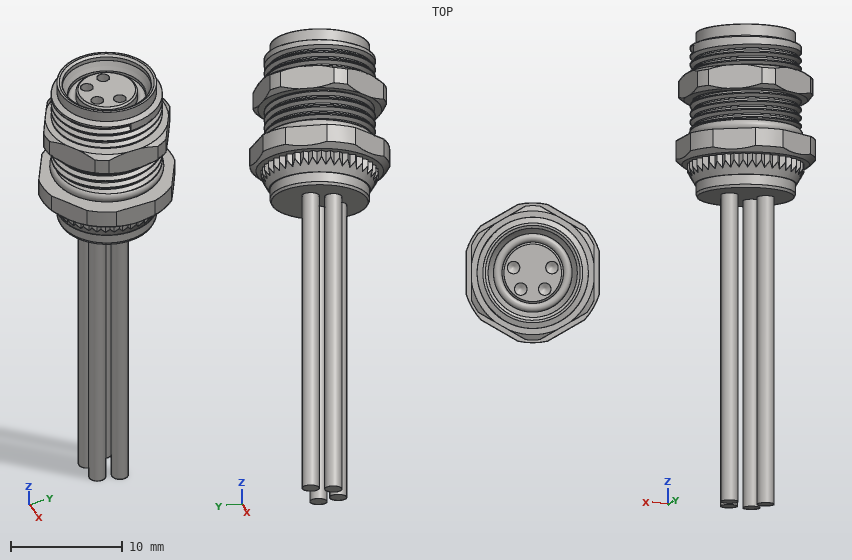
import cadquery as cq
import math


TOTAL_HEIGHT = 43.2
HOUSING_BOTTOM = 28.2
KNURL_CONE_BOTTOM = 29.38
KNURL_CONE_TOP = 30.6
FLANGE_BOTTOM = 31.2
FLANGE_TOP = 33.3
THREAD_BOTTOM = 34.4
NUT_BOTTOM = 37.1
NUT_TOP = 39.25
COLLAR_BOTTOM = 42.15

COLLAR_RADIUS = 4.5
NECK_RADIUS = 4.62
FOOT_CHAMFER_WIDTH = 0.15
FOOT_CHAMFER_HEIGHT = 0.25

THREAD_ROOT_RADIUS = 4.65
THREAD_CREST_RADIUS = 5.0
THREAD_TURNS = 10
THREAD_RISE = 7.5
THREAD_PITCH = THREAD_RISE / THREAD_TURNS
GROOVE_START = 34.0
GROOVE_ROOT_WIDTH = 0.15
GROOVE_MOUTH_WIDTH = 0.65
GROOVE_OVERRUN = 0.05
THREAD_BEVEL_HEIGHT = 0.2

FLANGE_FLAT_DISTANCE = 6.0
FLANGE_CORNER_RADIUS = 6.3
FLANGE_BEVEL_WIDTH = 0.55
FLANGE_BEVEL_HEIGHT = 0.48
NUT_FLAT_DISTANCE = 5.55
NUT_CORNER_RADIUS = 6.05
NUT_BEVEL_WIDTH = 0.48
NUT_BEVEL_HEIGHT = 0.35

KNURL_TEETH = 40
KNURL_TIP_RADIUS = 5.25
KNURL_ROOT_RADIUS = 4.92
KNURL_CONE_END_RADIUS = 4.6

SEAL_OUTER_RADIUS = 5.15
SEAL_SECTION_RADIUS = (THREAD_BOTTOM - FLANGE_TOP) / 2

MOUTH_RADIUS = 4.28
MOUTH_CHAMFER_DEPTH = 0.17
BORE_RADIUS = 4.0
BORE_DEPTH = 0.55
FUNNEL_END_RADIUS = 3.55
FUNNEL_BREAK_RADIUS = 3.75
FUNNEL_BREAK_DEPTH = 1.05
FUNNEL_DEPTH = 1.4
CAVITY_DEPTH = 1.8
INSERT_RADIUS = 2.75
INSERT_DEPTH = 0.8
INSERT_CHAMFER = 0.17

CONTACTS = [(-1.73, 0.48), (1.73, 0.48), (-1.1, -1.45), (1.1, -1.45)]
CONTACT_HOLE_RADIUS = 0.55
CONTACT_HOLE_DEPTH = 2.6
CONTACT_TIP_DEPTH = 0.35
WIRE_RADIUS = 0.78


def revolve(profile):
    """Turn a closed (radius, height) outline around the Z axis."""
    return cq.Workplane("XZ").polyline(profile).close().revolve(360, (0, 0), (0, 1))


def ring(center_radius, section_radius, height):
    """Round-section ring centred on the Z axis."""
    section = cq.Workplane("XZ").center(center_radius, height).circle(section_radius)
    return section.revolve(360, (-center_radius, 0), (-center_radius, 1))


def hexagon(flat_distance, corner_radius, bottom, top, bevel_width, bevel_height, bevel_top):
    """Hexagonal prism with flats facing +X and -X and bevelled corners."""
    corner_distance = flat_distance / math.cos(math.pi / 6)
    prism = (
        cq.Workplane("XY")
        .workplane(offset=bottom)
        .transformed(rotate=(0, 0, 30))
        .polygon(6, 2 * corner_distance)
        .extrude(top - bottom)
    )
    bevel_radius = corner_radius - bevel_width
    envelope = [(0, bottom), (bevel_radius, bottom), (corner_radius, bottom + bevel_height)]
    if bevel_top:
        envelope += [(corner_radius, top - bevel_height), (bevel_radius, top)]
    else:
        envelope += [(corner_radius, top)]
    envelope += [(0, top)]
    return prism.intersect(revolve(envelope))


def thread_groove():
    """Right-hand helical groove between the thread crests, running slightly proud of them."""
    outer_radius = THREAD_CREST_RADIUS + GROOVE_OVERRUN
    groove_depth = THREAD_CREST_RADIUS - THREAD_ROOT_RADIUS
    flank_slope = (GROOVE_MOUTH_WIDTH - GROOVE_ROOT_WIDTH) / 2 / groove_depth
    half_root = GROOVE_ROOT_WIDTH / 2
    half_outer = GROOVE_MOUTH_WIDTH / 2 + flank_slope * GROOVE_OVERRUN
    section = [
        (THREAD_ROOT_RADIUS, -half_root),
        (outer_radius, -half_outer),
        (outer_radius, half_outer),
        (THREAD_ROOT_RADIUS, half_root),
    ]
    helix = cq.Wire.makeHelix(THREAD_PITCH, THREAD_RISE, THREAD_ROOT_RADIUS)
    groove = cq.Workplane("XZ").polyline(section).close().sweep(cq.Workplane(helix), isFrenet=True)
    return groove.translate((0, 0, GROOVE_START))


def knurled_ring():
    """Toothed ring whose lower part tapers to the foot collar."""
    outline = []
    for step in range(2 * KNURL_TEETH):
        radius = KNURL_TIP_RADIUS if step % 2 else KNURL_ROOT_RADIUS
        angle = math.pi * step / KNURL_TEETH
        outline.append((radius * math.cos(angle), radius * math.sin(angle)))
    teeth = (
        cq.Workplane("XY")
        .workplane(offset=KNURL_CONE_BOTTOM)
        .polyline(outline)
        .close()
        .extrude(FLANGE_BOTTOM - KNURL_CONE_BOTTOM)
    )
    envelope = [
        (0, KNURL_CONE_BOTTOM),
        (KNURL_CONE_END_RADIUS, KNURL_CONE_BOTTOM),
        (KNURL_TIP_RADIUS, KNURL_CONE_TOP),
        (KNURL_TIP_RADIUS, FLANGE_BOTTOM),
        (0, FLANGE_BOTTOM),
    ]
    return teeth.intersect(revolve(envelope))


def housing_blank():
    """Turned housing: foot collar, neck under the outer seal, thread blank and top collar."""
    return revolve(
        [
            (0, HOUSING_BOTTOM),
            (COLLAR_RADIUS - FOOT_CHAMFER_WIDTH, HOUSING_BOTTOM),
            (COLLAR_RADIUS, HOUSING_BOTTOM + FOOT_CHAMFER_HEIGHT),
            (COLLAR_RADIUS, FLANGE_TOP),
            (NECK_RADIUS, FLANGE_TOP),
            (NECK_RADIUS, THREAD_BOTTOM),
            (THREAD_CREST_RADIUS, THREAD_BOTTOM),
            (THREAD_CREST_RADIUS, COLLAR_BOTTOM - THREAD_BEVEL_HEIGHT),
            (COLLAR_RADIUS, COLLAR_BOTTOM),
            (COLLAR_RADIUS, TOTAL_HEIGHT),
            (0, TOTAL_HEIGHT),
        ]
    )


def socket_cavity():
    """Space around the contact insert, open at the mating rim."""
    insert_top = TOTAL_HEIGHT - INSERT_DEPTH
    floor = TOTAL_HEIGHT - CAVITY_DEPTH
    return revolve(
        [
            (0, TOTAL_HEIGHT),
            (MOUTH_RADIUS, TOTAL_HEIGHT),
            (BORE_RADIUS, TOTAL_HEIGHT - MOUTH_CHAMFER_DEPTH),
            (BORE_RADIUS, TOTAL_HEIGHT - BORE_DEPTH),
            (FUNNEL_BREAK_RADIUS, TOTAL_HEIGHT - FUNNEL_BREAK_DEPTH),
            (FUNNEL_END_RADIUS, TOTAL_HEIGHT - FUNNEL_DEPTH),
            (FUNNEL_END_RADIUS, floor),
            (INSERT_RADIUS, floor),
            (INSERT_RADIUS, insert_top - INSERT_CHAMFER),
            (INSERT_RADIUS - INSERT_CHAMFER, insert_top),
            (0, insert_top),
        ]
    )


def contact_hole(x, y):
    """Blind hole with a conical end."""
    top = TOTAL_HEIGHT - INSERT_DEPTH
    bottom = top - CONTACT_HOLE_DEPTH
    hole = revolve(
        [
            (0, top),
            (CONTACT_HOLE_RADIUS, top),
            (CONTACT_HOLE_RADIUS, bottom),
            (0, bottom - CONTACT_TIP_DEPTH),
        ]
    )
    return hole.translate((x, y, 0))


def wire(x, y):
    """Straight round wire from its free end to the underside of the housing."""
    return cq.Workplane("XY").center(x, y).circle(WIRE_RADIUS).extrude(HOUSING_BOTTOM)


housing = housing_blank().cut(thread_groove())

flange = hexagon(
    FLANGE_FLAT_DISTANCE,
    FLANGE_CORNER_RADIUS,
    FLANGE_BOTTOM,
    FLANGE_TOP,
    FLANGE_BEVEL_WIDTH,
    FLANGE_BEVEL_HEIGHT,
    bevel_top=False,
)
nut = hexagon(
    NUT_FLAT_DISTANCE,
    NUT_CORNER_RADIUS,
    NUT_BOTTOM,
    NUT_TOP,
    NUT_BEVEL_WIDTH,
    NUT_BEVEL_HEIGHT,
    bevel_top=True,
)
outer_seal = ring(
    SEAL_OUTER_RADIUS - SEAL_SECTION_RADIUS,
    SEAL_SECTION_RADIUS,
    FLANGE_TOP + SEAL_SECTION_RADIUS,
)
fittings = knurled_ring().union(flange).union(nut).union(outer_seal)

inner_seal = ring(
    (INSERT_RADIUS + FUNNEL_END_RADIUS) / 2,
    (FUNNEL_END_RADIUS - INSERT_RADIUS) / 2,
    TOTAL_HEIGHT - CAVITY_DEPTH,
)
openings = socket_cavity().cut(inner_seal)

for contact_x, contact_y in CONTACTS:
    openings = openings.union(contact_hole(contact_x, contact_y))
    fittings = fittings.union(wire(contact_x, contact_y))

result = housing.union(fittings).cut(openings)